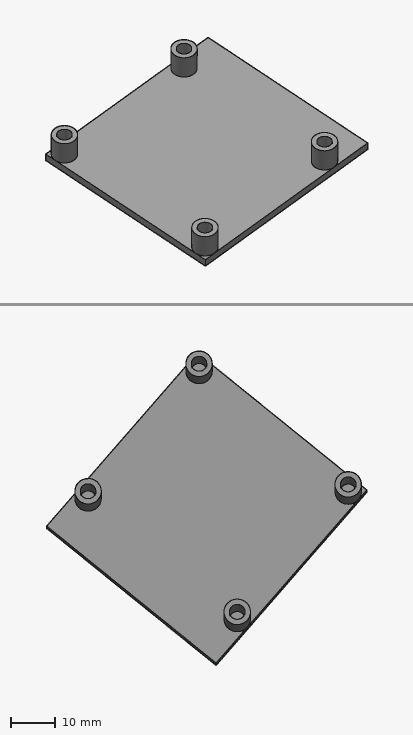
import cadquery as cq

plate_width = 50.0
plate_length = 53.0
plate_thickness = 2.0

total_height = 8.0
post_diameter = 6.0
bore_diameter = 3.5
post_row_spacing = 39.0

post_height = total_height - plate_thickness
post_x = (plate_width - post_diameter) / 2
front_row_y = (post_diameter - plate_length) / 2
back_row_y = front_row_y + post_row_spacing
post_centers = [(x, y) for x in (-post_x, post_x) for y in (front_row_y, back_row_y)]


def make_plate():
    return cq.Workplane("XY").box(
        plate_width, plate_length, plate_thickness, centered=(True, True, False)
    )


def make_posts():
    """Four standoffs whose bores stop at the top face of the plate."""
    return (
        cq.Workplane("XY", origin=(0, 0, plate_thickness))
        .pushPoints(post_centers)
        .circle(post_diameter / 2)
        .circle(bore_diameter / 2)
        .extrude(post_height)
    )


result = make_plate().union(make_posts())